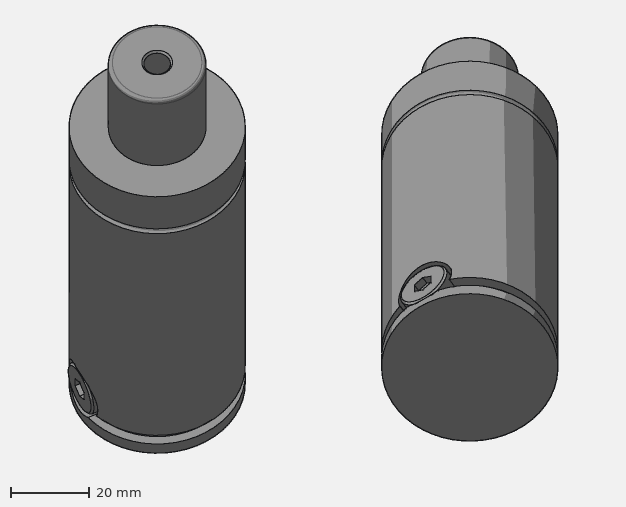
import cadquery as cq
import math

total_height = 135.0
body_diameter = 45.0
body_radius = body_diameter / 2
body_top = 108.0
rod_diameter = 25.0
rod_edge_fillet = 1.1

flange_height = 3.9
groove_top = 7.5
groove_floor_radius = 20.1

cap_groove_bottom = 92.5
cap_groove_top = 94.5
cap_groove_depth = 1.01

rod_hole_diameter = 6.8
rod_hole_depth = 13.5
rod_hole_chamfer = 0.5
drill_point_angle = 118.0

port_height = 10.5
port_diameter = 16.0
port_floor_radius = 17.5
plug_diameter = 14.0
plug_face_radius = 22.1
plug_edge_chamfer = 0.5
socket_across_flats = 5.0
socket_depth = 2.0


def port_disc(diameter, inner, outer):
    """Disc along -Y on the port axis, between two distances from the body axis."""
    plane = cq.Workplane("XZ", origin=(0, -inner, port_height))
    return plane.circle(diameter / 2).extrude(outer - inner)


def make_body():
    """Revolve the rod and the grooved cylinder in one profile."""
    rod_radius = rod_diameter / 2
    cap_groove_middle = (cap_groove_bottom + cap_groove_top) / 2
    return (
        cq.Workplane("XZ")
        .moveTo(0, 0)
        .lineTo(body_radius, 0)
        .lineTo(body_radius, flange_height)
        .lineTo(groove_floor_radius, flange_height)
        .lineTo(groove_floor_radius, groove_top)
        .lineTo(body_radius, groove_top)
        .lineTo(body_radius, cap_groove_bottom)
        .threePointArc(
            (body_radius - cap_groove_depth, cap_groove_middle),
            (body_radius, cap_groove_top),
        )
        .lineTo(body_radius, body_top)
        .lineTo(rod_radius, body_top)
        .lineTo(rod_radius, total_height - rod_edge_fillet)
        .radiusArc((rod_radius - rod_edge_fillet, total_height), -rod_edge_fillet)
        .lineTo(0, total_height)
        .close()
        .revolve(360, (0, 0, 0), (0, 1, 0))
    )


def make_rod_hole():
    """Drilled hole with a chamfered mouth and a conical bottom."""
    hole_radius = rod_hole_diameter / 2
    hole_bottom = total_height - rod_hole_depth
    point_length = hole_radius / math.tan(math.radians(drill_point_angle / 2))
    return (
        cq.Workplane("XZ")
        .moveTo(0, total_height)
        .lineTo(hole_radius + rod_hole_chamfer, total_height)
        .lineTo(hole_radius, total_height - rod_hole_chamfer)
        .lineTo(hole_radius, hole_bottom)
        .lineTo(0, hole_bottom - point_length)
        .close()
        .revolve(360, (0, 0, 0), (0, 1, 0))
    )


def make_plug():
    """Plug with a chamfered face and a hexagon socket, flats facing +X and -X."""
    plug = port_disc(plug_diameter, port_floor_radius, plug_face_radius)
    plug = plug.faces("<Y").edges().chamfer(plug_edge_chamfer)
    across_corners = socket_across_flats / math.cos(math.radians(30))
    socket = (
        cq.Workplane("XZ", origin=(0, -plug_face_radius, port_height))
        .transformed(rotate=(0, 0, 90))
        .polygon(6, across_corners)
        .extrude(-socket_depth)
    )
    return plug.cut(socket)


port_pocket = port_disc(port_diameter, port_floor_radius, body_radius)
result = make_body().cut(make_rod_hole()).cut(port_pocket).union(make_plug())